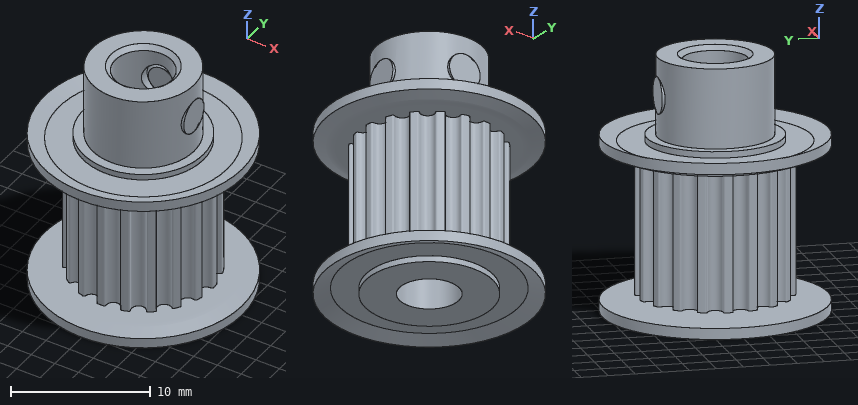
import cadquery as cq
import math

total_height = 19.01
pulley_height = 13.08

flange_radius = 8.35
flange_thickness = 0.84
flange_dish = 0.48
bend_radius = 7.1
bend_tangent_length = 0.32
flange_height = flange_thickness + flange_dish

tooth_count = 19
tooth_tip_radius = 5.8
root_radius = 5.05
groove_half_width = 0.59
groove_floor_radius = 0.57
groove_flank_radius = 1.2
tooth_edge_fillet = 0.13

hub_radius = 4.28
bore_radius = 2.35
bore_chamfer = 0.36

screw_radius = 1.37
screw_tip_chamfer = 0.29
screw_tip_distance = 2.41
screw_height = 16.22


def make_flange():
    """Dished ring with its rim on z = 0 and its raised, rounded bend at the top."""
    slope = math.atan2(flange_dish, flange_radius - bend_radius)
    bend_end_radius = bend_radius + bend_tangent_length * math.cos(slope)
    bend_end_height = flange_height - bend_tangent_length * math.sin(slope)
    return (
        cq.Workplane("XZ")
        .moveTo(0, flange_dish)
        .lineTo(bend_radius, flange_dish)
        .lineTo(flange_radius, 0)
        .lineTo(flange_radius, flange_thickness)
        .lineTo(bend_end_radius, bend_end_height)
        .tangentArcPoint(
            (bend_radius - bend_tangent_length, flange_height), relative=False
        )
        .lineTo(0, flange_height)
        .close()
        .revolve(360, (0, 0), (0, 1))
    )


def make_groove(length):
    """Belt groove opening toward +X: a round floor running tangentially into curved flanks."""
    floor_centre = root_radius + groove_floor_radius
    centre_distance = groove_flank_radius - groove_floor_radius
    flank_offset = groove_flank_radius - groove_half_width
    flank_rise = math.sqrt(centre_distance**2 - flank_offset**2)
    flank_centre = floor_centre + flank_rise
    floor_end_x = floor_centre - groove_floor_radius * flank_rise / centre_distance
    floor_end_y = groove_floor_radius * flank_offset / centre_distance
    open_end = tooth_tip_radius + groove_half_width
    return (
        cq.Workplane("XY")
        .moveTo(open_end, groove_half_width)
        .lineTo(flank_centre, groove_half_width)
        .tangentArcPoint((floor_end_x, floor_end_y), relative=False)
        .tangentArcPoint((floor_end_x, -floor_end_y), relative=False)
        .tangentArcPoint((flank_centre, -groove_half_width), relative=False)
        .lineTo(open_end, -groove_half_width)
        .close()
        .extrude(length)
    )


def make_teeth():
    """Toothed ring between the flanges, with a tooth centred on the -Y side."""
    length = pulley_height - 2 * flange_height
    groove = make_groove(length)
    pitch_angle = 360 / tooth_count
    teeth = cq.Workplane("XY").circle(tooth_tip_radius).extrude(length)
    for index in range(tooth_count):
        teeth = teeth.cut(groove.rotate((0, 0, 0), (0, 0, 1), index * pitch_angle))

    def is_tip_edge(edge):
        centre = edge.Center()
        return math.isclose(math.hypot(centre.x, centre.y), tooth_tip_radius, rel_tol=1e-6)

    teeth = teeth.edges("|Z").filter(is_tip_edge).fillet(tooth_edge_fillet)
    first_groove_angle = pitch_angle / 2 - 90
    return teeth.rotate((0, 0, 0), (0, 0, 1), first_groove_angle).translate(
        (0, 0, flange_height)
    )


def make_screw():
    """Set screw along +X, flush with the hub's outermost line, with a chamfered tip."""
    return (
        cq.Workplane("YZ", origin=(screw_tip_distance, 0, screw_height))
        .circle(screw_radius)
        .extrude(hub_radius - screw_tip_distance)
        .faces("<X")
        .chamfer(screw_tip_chamfer)
    )


body = cq.Workplane("XY").circle(root_radius).extrude(pulley_height)
body = body.union(cq.Workplane("XY").circle(hub_radius).extrude(total_height))
body = body.union(make_teeth())

lower_flange = make_flange()
upper_flange = lower_flange.mirror("XY").translate((0, 0, pulley_height))
body = body.union(lower_flange).union(upper_flange)

body = body.cut(cq.Workplane("XY").circle(bore_radius).extrude(total_height))
chamfer_cone = cq.Solid.makeCone(
    bore_radius,
    bore_radius + bore_chamfer,
    bore_chamfer,
    pnt=cq.Vector(0, 0, total_height - bore_chamfer),
)
body = body.cut(cq.Workplane(chamfer_cone))

screw_hole = (
    cq.Workplane("YZ", origin=(0, 0, screw_height))
    .circle(screw_radius)
    .extrude(hub_radius)
)
screw = make_screw()
for angle in (0, 90):
    body = body.cut(screw_hole.rotate((0, 0, 0), (0, 0, 1), angle))
    body = body.union(screw.rotate((0, 0, 0), (0, 0, 1), angle))

result = body